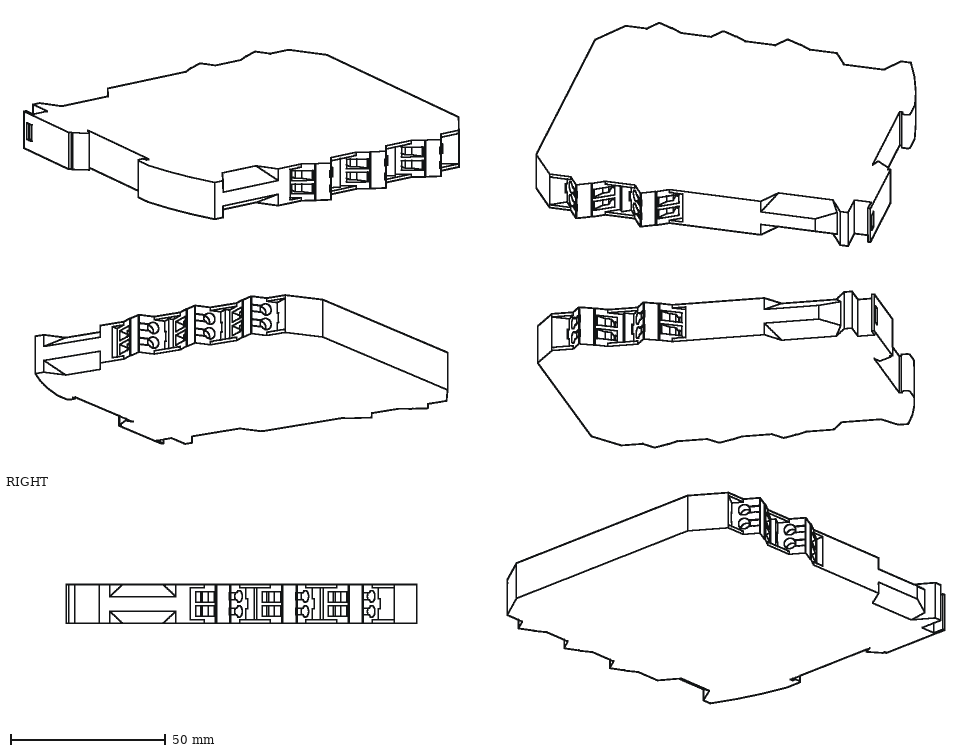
import math

import cadquery as cq

OVERALL_WIDTH = 108.04
THICKNESS = 12.6
HOUSING_WIDTH = 99.0
HOUSING_HEIGHT = 107.3
SIDE_X = HOUSING_WIDTH / 2
TOP_CHAMFER_X = 11.2
TOP_CHAMFER_Y = 7.4

SLOPE = math.tan(math.radians(32.5))
TIP_FACE_SLOPE = math.tan(math.radians(27))
TIP_OUT = (OVERALL_WIDTH - HOUSING_WIDTH) / 2
TIP_FLAT = 0.3
FIRST_TIP_Y = 89.8
PLUG_PITCH = 21.5
LEFT_PLUGS = 2
RIGHT_PLUGS = 3
STEP_OUT = 2.35
STEP_LENGTH = 0.4
STEP_TOP = -TIP_FLAT / 2 - (TIP_OUT - STEP_OUT) / TIP_FACE_SLOPE
STEP_BOTTOM = STEP_TOP - STEP_LENGTH
UPPER_ROOT = TIP_FLAT / 2 + TIP_OUT * SLOPE
LOWER_ROOT = STEP_BOTTOM - STEP_OUT / SLOPE

SEAT_WALL = 1.1
SEAT_TOP = HOUSING_HEIGHT - TOP_CHAMFER_Y - FIRST_TIP_Y
SEAT_BOTTOM = -12.9
KEY_NOTCH_WIDTH = 3.2
KEY_NOTCH_LENGTH = 0.6

WIRE_HOLE_INNER_Z = 0.62
WIRE_HOLE_OUTER_Z = 3.93
WIRE_HOLE_TOP = -5.2
WIRE_RAMP_DROP = 0.8
WIRE_RAMP_END = -7.15
WIRE_FLOOR_END = -9.0
WIRE_RIDGE_END = -9.6
WIRE_HOLE_BOTTOM = -11.2
WIRE_POCKET_DROP = 4.0
WIRE_POCKET_SLOPE = 3.0
SCREW_Z = 2.45
SCREW_HOLE_DIAMETER = 3.7
SCREW_HOLE_DEPTH = 4.0
SCREW_Y = 2.9
DRIVER_SLOT_WIDTH = 2.2
DRIVER_SLOT_DEPTH = 0.5
CUTTER_CLEARANCE = 0.6

GRIP_INSET = 6.7
GRIP_DROP = 3.95
GRIP_TOP = 29.2
GRIP_TAPER = 4.2
LEFT_GRIP_BOTTOM = 2.6
RIGHT_GRIP_BOTTOM = 7.7
SIDE_NOTCH_TOP = 11.0
SIDE_NOTCH_DEPTH = 2.9

HOOK_X = 16.4
HOOK_UNDERCUT = 1.4
HOOK_LIP_Y = -1.0
HOOK_BOTTOM = -3.7
HOOK_RADIUS = 1.0
HOOK_FLAT_END_X = 23.0
HOOK_ARC_X = 37.5
HOOK_ARC_Y = -0.15
HOOK_END_Y = 4.4

FOOT_BOTTOM = -6.4
FOOT_LEFT_X = -41.1
FOOT_NOSE_ROOT_X = -17.6
FOOT_NOSE_X = -14.9
FOOT_NOSE_Y = -1.2
FOOT_SHOULDER_X = -18.2
TONGUE_RIGHT_X = -19.1
TONGUE_LEFT_X = -45.2
TONGUE_THICKNESS = 0.85
TONGUE_SLOT_LEFT_X = -43.5
TONGUE_SLOT_LENGTH = 2.6
TONGUE_SLOT_HEIGHT = 5.6


def prism(points, z_low=-THICKNESS / 2, z_high=THICKNESS / 2):
    """Extrude a closed XY outline between two Z levels."""
    return cq.Workplane("XY").workplane(offset=z_low).polyline(points).close().extrude(z_high - z_low)


def side_prism(profile, side, tip_y, z_low=-THICKNESS / 2, z_high=THICKNESS / 2):
    """Extrude (distance out of the side face, height from the plug tip) points; side is -1 or +1."""
    points = [(side * (SIDE_X + out), tip_y + height) for out, height in profile]
    return prism(points, z_low, z_high)


def housing():
    body = (
        cq.Workplane("XY")
        .workplane(offset=-THICKNESS / 2)
        .moveTo(-SIDE_X, 0)
        .lineTo(HOOK_X + HOOK_UNDERCUT, 0)
        .lineTo(HOOK_X + HOOK_UNDERCUT, HOOK_LIP_Y)
        .lineTo(HOOK_X, HOOK_LIP_Y)
        .lineTo(HOOK_X, HOOK_BOTTOM + HOOK_RADIUS)
        .radiusArc((HOOK_X + HOOK_RADIUS, HOOK_BOTTOM), -HOOK_RADIUS)
        .lineTo(HOOK_FLAT_END_X, HOOK_BOTTOM)
        .threePointArc((HOOK_ARC_X, HOOK_ARC_Y), (SIDE_X, HOOK_END_Y))
        .lineTo(SIDE_X, HOUSING_HEIGHT - TOP_CHAMFER_Y)
        .lineTo(SIDE_X - TOP_CHAMFER_X, HOUSING_HEIGHT)
        .lineTo(TOP_CHAMFER_X - SIDE_X, HOUSING_HEIGHT)
        .lineTo(-SIDE_X, HOUSING_HEIGHT - TOP_CHAMFER_Y)
        .close()
        .extrude(THICKNESS)
    )
    notch_tip_y = LEFT_GRIP_BOTTOM + SIDE_NOTCH_DEPTH * GRIP_TAPER / GRIP_INSET
    side_notch = prism(
        [
            (-SIDE_X, SIDE_NOTCH_TOP),
            (SIDE_NOTCH_DEPTH - SIDE_X, notch_tip_y),
            (-SIDE_X, LEFT_GRIP_BOTTOM),
        ]
    )
    return body.cut(side_notch)


def grip_bevel(side, bottom, face):
    """Bevel on one flat face (face -1 or +1) at one side, closed by slanted end walls."""
    edge_x = side * SIDE_X
    inner_x = side * (SIDE_X - GRIP_INSET)
    footprint = prism(
        [
            (edge_x, GRIP_TOP),
            (inner_x, GRIP_TOP - GRIP_TAPER),
            (inner_x, bottom + GRIP_TAPER),
            (edge_x, bottom),
        ]
    )
    face_z = face * THICKNESS / 2
    wedge = (
        cq.Workplane("XZ", origin=(0, GRIP_TOP, 0))
        .polyline([(inner_x, face_z), (edge_x, face_z), (edge_x, face_z - face * GRIP_DROP)])
        .close()
        .extrude(GRIP_TOP - bottom)
    )
    return footprint.intersect(wedge)


def rail_foot():
    tongue_top = FOOT_BOTTOM + TONGUE_THICKNESS
    foot = prism(
        [
            (FOOT_LEFT_X, 0),
            (FOOT_LEFT_X, tongue_top),
            (TONGUE_LEFT_X, tongue_top),
            (TONGUE_LEFT_X, FOOT_BOTTOM),
            (TONGUE_RIGHT_X, FOOT_BOTTOM),
            (TONGUE_RIGHT_X, tongue_top),
            (FOOT_SHOULDER_X, tongue_top),
            (FOOT_NOSE_X, FOOT_NOSE_Y),
            (FOOT_NOSE_ROOT_X, 0),
        ]
    )
    slot = cq.Workplane("XY").box(
        TONGUE_SLOT_LENGTH, TONGUE_THICKNESS, TONGUE_SLOT_HEIGHT, centered=(False, False, True)
    )
    return foot.cut(slot.translate((TONGUE_SLOT_LEFT_X, FOOT_BOTTOM, 0)))


def plug_tooth(side, tip_y):
    profile = [
        (0, UPPER_ROOT),
        (TIP_OUT, TIP_FLAT / 2),
        (TIP_OUT, -TIP_FLAT / 2),
        (STEP_OUT, STEP_TOP),
        (STEP_OUT, STEP_BOTTOM),
        (0, LOWER_ROOT),
    ]
    return side_prism(profile, side, tip_y)


def plug_seat(side, tip_y, is_last):
    """Sunken areas above and below the tooth, plus the key notch between them and the tooth."""
    z_limit = THICKNESS / 2 - SEAT_WALL
    corner_y = UPPER_ROOT + (SEAT_TOP - UPPER_ROOT) * SLOPE**2 / (1 + SLOPE**2)
    corner_out = -(SEAT_TOP - corner_y) * SLOPE
    upper_profile = [(0, SEAT_TOP), (corner_out, corner_y), (0, UPPER_ROOT)]
    upper = side_prism(upper_profile, side, tip_y, -z_limit, z_limit)

    key_top = corner_y + KEY_NOTCH_LENGTH
    key_profile = [
        (0, UPPER_ROOT),
        (corner_out - KEY_NOTCH_LENGTH / SLOPE, key_top),
        (0, key_top),
    ]
    key_notch = side_prism(key_profile, side, tip_y, -KEY_NOTCH_WIDTH / 2, KEY_NOTCH_WIDTH / 2)

    bottom_out = (SEAT_BOTTOM - LOWER_ROOT) * SLOPE
    end_y = SEAT_BOTTOM
    if not is_last:
        end_y += bottom_out * SLOPE
    lower_profile = [(0, LOWER_ROOT), (bottom_out, SEAT_BOTTOM), (0, end_y)]
    lower = side_prism(lower_profile, side, tip_y, -z_limit, z_limit)
    return upper.union(key_notch).union(lower)


def wire_hole(side, tip_y, pole):
    """Stepped funnel in the lower face of a plug; pole is -1 or +1."""
    top_out = STEP_OUT + (WIRE_HOLE_TOP - STEP_BOTTOM) * SLOPE
    ramp_top_out = top_out - WIRE_RAMP_DROP
    ramp_out = ramp_top_out + (WIRE_RAMP_END - WIRE_HOLE_TOP) / SLOPE
    floor_out = ramp_out + (WIRE_FLOOR_END - WIRE_RAMP_END) * SLOPE
    drop_out = floor_out - WIRE_POCKET_DROP
    ridge_out = drop_out + (WIRE_FLOOR_END - WIRE_RIDGE_END) / SLOPE
    pocket_out = ridge_out + (WIRE_HOLE_BOTTOM - WIRE_RIDGE_END) * WIRE_POCKET_SLOPE
    profile = [
        (top_out, WIRE_HOLE_TOP),
        (ramp_top_out, WIRE_HOLE_TOP),
        (ramp_out, WIRE_RAMP_END),
        (floor_out, WIRE_FLOOR_END),
        (drop_out, WIRE_FLOOR_END),
        (ridge_out, WIRE_RIDGE_END),
        (pocket_out, WIRE_HOLE_BOTTOM),
        (top_out, WIRE_HOLE_BOTTOM),
    ]
    z_low, z_high = sorted((pole * WIRE_HOLE_INNER_Z, pole * WIRE_HOLE_OUTER_Z))
    return side_prism(profile, side, tip_y, z_low, z_high)


def screw_access(side, tip_y, pole):
    """Round hole square to the upper face of a plug, with a shallow slot running to its tip."""
    normal = cq.Vector(side * SLOPE, 1, 0).normalized()
    toward_tip = cq.Vector(side, -SLOPE, 0).normalized()
    screw_out = (UPPER_ROOT - SCREW_Y) / SLOPE
    mouth = cq.Vector(side * (SIDE_X + screw_out), tip_y + SCREW_Y, pole * SCREW_Z)
    plane = cq.Plane(origin=mouth.toTuple(), xDir=toward_tip.toTuple(), normal=normal.toTuple())
    hole = (
        cq.Workplane(plane)
        .workplane(offset=CUTTER_CLEARANCE)
        .circle(SCREW_HOLE_DIAMETER / 2)
        .extrude(-SCREW_HOLE_DEPTH - CUTTER_CLEARANCE)
    )
    slot_length = math.hypot(TIP_OUT - screw_out, SCREW_Y - TIP_FLAT / 2)
    slot = (
        cq.Workplane(plane)
        .center(slot_length / 2, 0)
        .rect(slot_length, DRIVER_SLOT_WIDTH)
        .extrude(-DRIVER_SLOT_DEPTH)
    )
    return hole.union(slot)


def add_plugs(body, side, count):
    tip_heights = [FIRST_TIP_Y - index * PLUG_PITCH for index in range(count)]
    for tip_y in tip_heights:
        body = body.union(plug_tooth(side, tip_y))
    for tip_y in tip_heights:
        body = body.cut(plug_seat(side, tip_y, tip_y == tip_heights[-1]))
        for pole in (-1, 1):
            body = body.cut(wire_hole(side, tip_y, pole))
            body = body.cut(screw_access(side, tip_y, pole))
    return body


result = housing().union(rail_foot())
result = add_plugs(result, -1, LEFT_PLUGS)
result = add_plugs(result, 1, RIGHT_PLUGS)
for flat_face in (-1, 1):
    result = result.cut(grip_bevel(-1, LEFT_GRIP_BOTTOM, flat_face))
    result = result.cut(grip_bevel(1, RIGHT_GRIP_BOTTOM, flat_face))